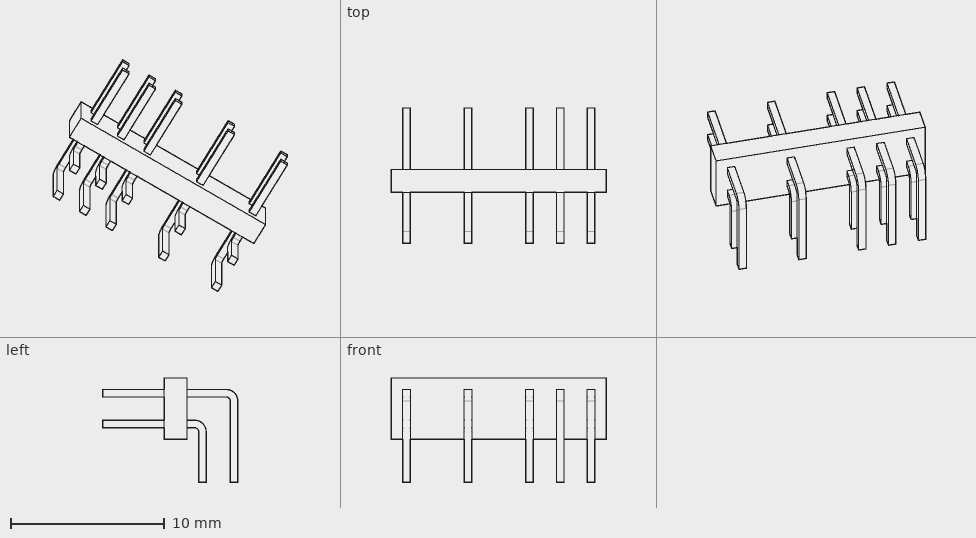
import cadquery as cq

body_length = 14.0
columns_along_body = 7
pitch = body_length / columns_along_body
body_depth = 0.75 * pitch
body_height = 2 * pitch

pin_size = pitch / 4
filled_columns = (-3, -1, 1, 2, 3)
inner_bend_radius = pin_size / 2
outer_bend_radius = inner_bend_radius + pin_size

rear_reach = 2 * pitch
upper_front_reach = 3.3
tail_spacing = 2.06
tail_drop = 2.8

upper_row_z = pitch / 2
lower_row_z = -pitch / 2
rear_end_y = body_depth / 2 + rear_reach
upper_front_y = -body_depth / 2 - upper_front_reach
lower_front_y = upper_front_y + tail_spacing
tail_end_z = -body_height / 2 - tail_drop


def rounded_corner_block(front_y, top_z, corner_radius):
    """Pin-wide block from the tail end and rear end to a rounded upper front edge."""
    block = cq.Workplane("XY").box(
        pin_size,
        rear_end_y - front_y,
        top_z - tail_end_z,
        centered=(True, False, False),
    )
    block = block.edges("|X and <Y and >Z").fillet(corner_radius)
    return block.translate((0, front_y, tail_end_z))


def bent_pin(row_z, front_y):
    """Right-angle pin: straight along Y through the body, then down to the tail end."""
    top_z = row_z + pin_size / 2
    outside = rounded_corner_block(front_y, top_z, outer_bend_radius)
    inside = rounded_corner_block(front_y + pin_size, top_z - pin_size, inner_bend_radius)
    return outside.cut(inside)


upper_pin = bent_pin(upper_row_z, upper_front_y)
lower_pin = bent_pin(lower_row_z, lower_front_y)

result = cq.Workplane("XY").box(body_length, body_depth, body_height)
for column in filled_columns:
    column_x = column * pitch
    result = result.union(upper_pin.translate((column_x, 0, 0)))
    result = result.union(lower_pin.translate((column_x, 0, 0)))